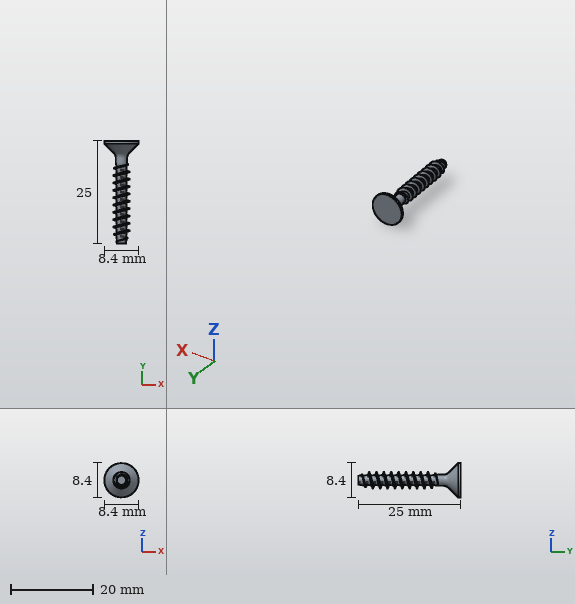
import cadquery as cq
import math


length = 25
head_radius = 4.2
rim_height = 0.7
shank_radius = 1.4
shank_end = 5.52
neck_fillet = 1.6
cone_angle = math.radians(45)

thread_diameter = 4.02
thread_radius = thread_diameter / 2
thread_start = 5.3
thread_turns = 11
pitch = (length - thread_start) / thread_turns
lead_in_radius = 1.52
lead_in_turns = 1.1
run_out_turns = 1.5
start_angle = -math.pi / 2
crest_width = 0.05
ridge_height = 1.05
root_width = 0.62

core_large_diameter = 2.68
core_small_diameter = 2.28
core_gap = 0.05
groove_outer_radius = 1.75
core_blend_radius = 1.1
core_blend_end = 6.88
tip_radius = 1.1
tip_cone_start = 23.5
tip_cone_radius = 1.32

samples_per_turn = 12


def revolve_outline(points):
    """Turn an outline of (radius, depth) points about the screw axis."""
    outline = cq.Workplane("XY").polyline([(radius, -depth) for radius, depth in points]).close()
    return outline.revolve(360, (0, 0, 0), (0, 1, 0))


def make_head():
    """Head rim, countersink cone, neck fillet and plain shank."""
    fillet_top_radius = shank_radius + neck_fillet * (1 - math.cos(cone_angle))
    fillet_top = rim_height + (head_radius - fillet_top_radius) / math.tan(cone_angle)
    fillet_end = fillet_top + neck_fillet * math.sin(cone_angle)
    half_angle = cone_angle / 2
    fillet_middle = (
        shank_radius + neck_fillet * (1 - math.cos(half_angle)),
        -fillet_end + neck_fillet * math.sin(half_angle),
    )
    outline = (
        cq.Workplane("XY")
        .lineTo(head_radius, 0)
        .lineTo(head_radius, -rim_height)
        .lineTo(fillet_top_radius, -fillet_top)
        .threePointArc(fillet_middle, (shank_radius, -fillet_end))
        .lineTo(shank_radius, -shank_end)
        .lineTo(0, -shank_end)
        .close()
    )
    return outline.revolve(360, (0, 0, 0), (0, 1, 0))


def helix_point(turn, radius, offset):
    """Point on the thread helix, shifted towards the tip by an offset."""
    angle = start_angle + 2 * math.pi * turn
    depth = thread_start + pitch * turn + offset
    return cq.Vector(radius * math.cos(angle), -depth, radius * math.sin(angle))


def helical_bar(profile, first_turn, last_turn, first_rise=0, last_rise=0):
    """Solid with a closed (offset, radius) profile that winds along the thread helix.

    The profile moves outwards evenly, from first_rise at one end to last_rise at the other.
    """
    steps = math.ceil((last_turn - first_turn) * samples_per_turn)
    fractions = [step / steps for step in range(steps + 1)]
    edges = []
    for offset, radius in profile:
        points = []
        for fraction in fractions:
            turn = first_turn + fraction * (last_turn - first_turn)
            rise = first_rise + fraction * (last_rise - first_rise)
            points.append(helix_point(turn, radius + rise, offset))
        edges.append(cq.Edge.makeSpline(points, parameters=fractions))
    faces = []
    for edge, next_edge in zip(edges, edges[1:] + edges[:1]):
        faces.append(cq.Face.makeRuledSurface(edge, next_edge))
    for end in (0, 1):
        corners = [edge.positionAt(end) for edge in edges]
        faces.append(cq.Face.makeFromWires(cq.Wire.makePolygon(corners, close=True)))
    bar = cq.Solid.makeSolid(cq.Shell.makeShell(faces))
    return cq.Workplane("XY").newObject([bar.fix()])


def make_thread():
    """Pieces of the thread ridge, which grows out of the shank end and fades away at the tip."""
    root_radius = thread_radius - ridge_height
    profile = [
        (-root_width / 2, root_radius),
        (-crest_width / 2, thread_radius),
        (crest_width / 2, thread_radius),
        (root_width / 2, root_radius),
    ]
    full_end = thread_turns - run_out_turns
    lead_in = helical_bar(profile, 0, lead_in_turns, first_rise=lead_in_radius - thread_radius)
    full_pieces = math.ceil(full_end - lead_in_turns)
    piece_turns = (full_end - lead_in_turns) / full_pieces
    full_thread = []
    for piece in range(full_pieces):
        first_turn = lead_in_turns + piece * piece_turns
        full_thread.append(helical_bar(profile, first_turn, first_turn + piece_turns))
    run_out = helical_bar(profile, full_end, thread_turns, last_rise=tip_radius - thread_radius)
    threaded_zone = revolve_outline(
        [(0, shank_end), (head_radius, shank_end), (head_radius, length), (0, length)]
    )
    return [lead_in.intersect(threaded_zone), *full_thread, run_out.intersect(threaded_zone)]


def make_core():
    """Core below the shank: a coned rod with tapered grooves between the ridges."""
    core = revolve_outline(
        [
            (0, shank_end),
            (shank_radius, shank_end),
            (shank_radius, tip_cone_start),
            (tip_cone_radius, tip_cone_start),
            (tip_radius, length),
            (0, length),
        ]
    )
    groove_profile = [
        (core_gap, core_large_diameter / 2),
        (core_gap, groove_outer_radius),
        (pitch - core_gap, groove_outer_radius),
        (pitch - core_gap, core_small_diameter / 2),
    ]
    for turn in range(-1, thread_turns):
        core = core.cut(helical_bar(groove_profile, turn, turn + 1))
    blend = revolve_outline(
        [
            (0, shank_end),
            (shank_radius, shank_end),
            (core_blend_radius, core_blend_end),
            (0, core_blend_end),
        ]
    )
    return core.union(blend)


result = make_head().union(make_core())
for ridge in make_thread():
    result = result.union(ridge)
result = result.solids()